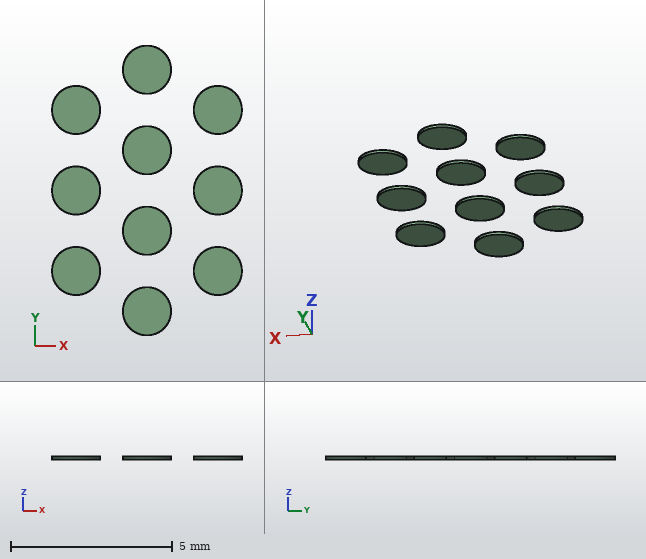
import cadquery as cq

overall_width = 5.9
overall_length = 9.0
disc_diameter = 1.5
disc_thickness = 0.1
center_column_count = 4
side_column_count = 3

column_spacing = (overall_width - disc_diameter) / 2
row_pitch = (overall_length - disc_diameter) / (center_column_count - 1)


def make_disc(x, y):
    """One flat round disc, centred on (x, y) and on the XY plane."""
    disc = cq.Workplane("XY").cylinder(disc_thickness, disc_diameter / 2)
    return disc.translate((x, y, 0)).val()


def make_disc_column(x, count):
    """A column of separate discs along Y, centred on Y = 0."""
    first_y = -(count - 1) * row_pitch / 2
    return [make_disc(x, first_y + row * row_pitch) for row in range(count)]


discs = []
for column_x, disc_count in (
    (-column_spacing, side_column_count),
    (0, center_column_count),
    (column_spacing, side_column_count),
):
    discs.extend(make_disc_column(column_x, disc_count))

result = cq.Compound.makeCompound(discs)